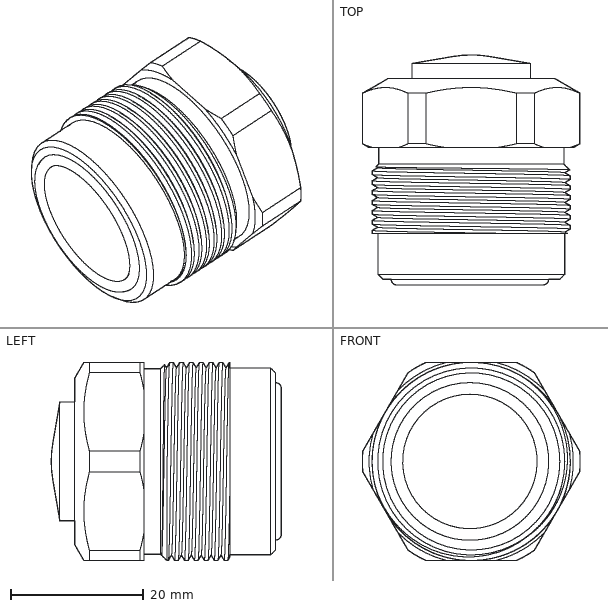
import cadquery as cq
import math

RING_RADIUS = 11.05
RING_TUBE_RADIUS = 0.88
RING_OFFSET_X = -0.2

OVERALL_LENGTH = 34.83
THREAD_START = 6.9
THREAD_LENGTH = 10.5
NECK_LENGTH = 2.5
HEX_HEIGHT = 10.5
BOSS_HEIGHT = 2.25
THREAD_END = THREAD_START + THREAD_LENGTH
HEX_START = THREAD_END + NECK_LENGTH
HEX_END = HEX_START + HEX_HEIGHT
BOSS_END = HEX_END + BOSS_HEIGHT
DOME_TIP = OVERALL_LENGTH - RING_TUBE_RADIUS

BARREL_RADIUS = 14.15
BARREL_CHAMFER = 0.75
NECK_RADIUS = 14.05
BOSS_RADIUS = 9.0
DOME_CONE_ANGLE = 9.7

THREAD_RADIUS = 15.0
THREAD_PITCH = 1.5
THREAD_DEPTH = 0.82
THREAD_FLANK_ANGLE = 30.0
GROOVE_PHASE = 0.22
GROOVE_LEAD_IN = THREAD_PITCH
GROOVE_LEAD_OUT = 2 * THREAD_PITCH
OVERLAP = 0.2

HEX_SIDES = 6
HEX_ACROSS_FLATS = 30.0
HEX_TURNED_RADIUS = 16.49
HEX_CHAMFER_ANGLE = 30.0
HEX_TOP_RADIUS = 12.6
HEX_UNDERSIDE_RADIUS = 15.45


def revolve_about_y(outline):
    """Revolve a closed outline drawn as (radius, y) around the Y axis."""
    return outline.close().revolve(360, (0, 0, 0), (0, 1, 0))


def make_barrel():
    """Chamfered barrel, thread core and relief neck, up to the underside of the hexagon."""
    outline = (
        cq.Workplane("XY")
        .lineTo(BARREL_RADIUS - BARREL_CHAMFER, 0)
        .lineTo(BARREL_RADIUS, BARREL_CHAMFER)
        .lineTo(BARREL_RADIUS, THREAD_START)
        .lineTo(NECK_RADIUS, THREAD_START)
        .lineTo(NECK_RADIUS, HEX_START)
        .lineTo(0, HEX_START)
    )
    return revolve_about_y(outline)


def make_thread_groove():
    """V-shaped helical groove running past both ends of the thread."""
    root_radius = THREAD_RADIUS - THREAD_DEPTH
    mouth_radius = THREAD_RADIUS + OVERLAP
    mouth_half = (mouth_radius - root_radius) * math.tan(math.radians(THREAD_FLANK_ANGLE))

    helix_length = GROOVE_LEAD_IN + THREAD_LENGTH + GROOVE_LEAD_OUT
    helix = cq.Wire.makeHelix(THREAD_PITCH, helix_length, root_radius, lefthand=True)
    groove = (
        cq.Workplane("XZ")
        .moveTo(root_radius, 0)
        .lineTo(mouth_radius, -mouth_half)
        .lineTo(mouth_radius, mouth_half)
        .close()
        .sweep(cq.Workplane(obj=helix), isFrenet=True)
    )
    helix_start = THREAD_START + GROOVE_PHASE - GROOVE_LEAD_IN
    return groove.rotate((0, 0, 0), (1, 0, 0), -90).translate((0, helix_start, 0))


def make_thread():
    """Threaded sleeve with a 45 degree run-out towards the neck."""
    bore_radius = THREAD_RADIUS - THREAD_DEPTH - OVERLAP
    runout = THREAD_RADIUS - NECK_RADIUS
    blank_outline = (
        cq.Workplane("XY")
        .moveTo(bore_radius, THREAD_START)
        .lineTo(THREAD_RADIUS, THREAD_START)
        .lineTo(THREAD_RADIUS, THREAD_END - runout)
        .lineTo(NECK_RADIUS, THREAD_END)
        .lineTo(bore_radius, THREAD_END)
    )
    return revolve_about_y(blank_outline).cut(make_thread_groove())


def make_hexagon():
    """Hexagon with rounded corners and conical chamfers on both faces."""
    slope = math.tan(math.radians(HEX_CHAMFER_ANGLE))
    top_drop = (HEX_TURNED_RADIUS - HEX_TOP_RADIUS) * slope
    underside_rise = (HEX_TURNED_RADIUS - HEX_UNDERSIDE_RADIUS) * slope
    turned_outline = (
        cq.Workplane("XY")
        .moveTo(0, HEX_START)
        .lineTo(HEX_UNDERSIDE_RADIUS, HEX_START)
        .lineTo(HEX_TURNED_RADIUS, HEX_START + underside_rise)
        .lineTo(HEX_TURNED_RADIUS, HEX_END - top_drop)
        .lineTo(HEX_TOP_RADIUS, HEX_END)
        .lineTo(0, HEX_END)
    )
    across_corners = HEX_ACROSS_FLATS / math.cos(math.pi / HEX_SIDES)
    prism = (
        cq.Workplane("XZ", origin=(0, HEX_START, 0))
        .polygon(HEX_SIDES, across_corners)
        .extrude(-HEX_HEIGHT)
    )
    return prism.intersect(revolve_about_y(turned_outline))


def nose_point(nose_radius, angle):
    """Point (radius, y) on the spherical nose at an angle from the axis."""
    return nose_radius * math.sin(angle), DOME_TIP - nose_radius * (1 - math.cos(angle))


def make_domed_boss():
    """Round boss on the hexagon, closed by a shallow cone with a spherical nose."""
    cone_angle = math.radians(DOME_CONE_ANGLE)
    sharp_height = BOSS_RADIUS * math.tan(cone_angle)
    nose_drop = BOSS_END + sharp_height - DOME_TIP
    nose_radius = nose_drop / (1 / math.cos(cone_angle) - 1)
    tangent_point = nose_point(nose_radius, cone_angle)
    outline = (
        cq.Workplane("XY")
        .moveTo(0, HEX_END)
        .lineTo(BOSS_RADIUS, HEX_END)
        .lineTo(BOSS_RADIUS, BOSS_END)
        .lineTo(*tangent_point)
        .threePointArc(nose_point(nose_radius, cone_angle / 2), (0, DOME_TIP))
    )
    return revolve_about_y(outline)


def make_sealing_ring():
    """Torus lying in the seat face."""
    centre = cq.Vector(RING_OFFSET_X, 0, 0)
    axis = cq.Vector(0, 1, 0)
    ring = cq.Solid.makeTorus(RING_RADIUS, RING_TUBE_RADIUS, centre, axis)
    return cq.Workplane(obj=ring)


result = (
    make_barrel()
    .union(make_thread())
    .union(make_hexagon())
    .union(make_domed_boss())
    .union(make_sealing_ring())
)